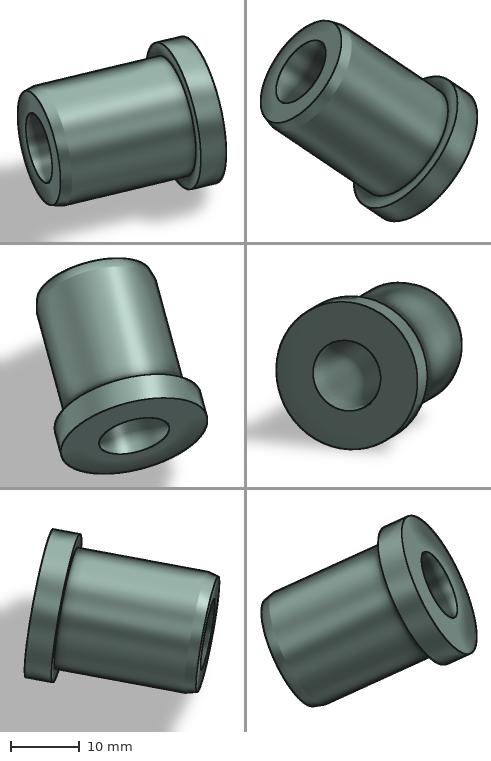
import cadquery as cq
import math

total_length = 25.0
flange_diameter = 22.0
flange_thickness = 4.0
body_diameter = 18.0
bore_diameter = 10.5

taper_length = 1.65
taper_angle = 15.0

flange_radius = flange_diameter / 2
body_radius = body_diameter / 2
bore_radius = bore_diameter / 2
tip_radius = body_radius - taper_length * math.tan(math.radians(taper_angle))
shoulder_y = total_length - flange_thickness

half_section = (
    cq.Workplane("XY")
    .moveTo(bore_radius, 0)
    .lineTo(tip_radius, 0)
    .lineTo(body_radius, taper_length)
    .lineTo(body_radius, shoulder_y)
    .lineTo(flange_radius, shoulder_y)
    .lineTo(flange_radius, total_length)
    .lineTo(bore_radius, total_length)
    .close()
)

result = half_section.revolve(360, (0, 0, 0), (0, 1, 0))